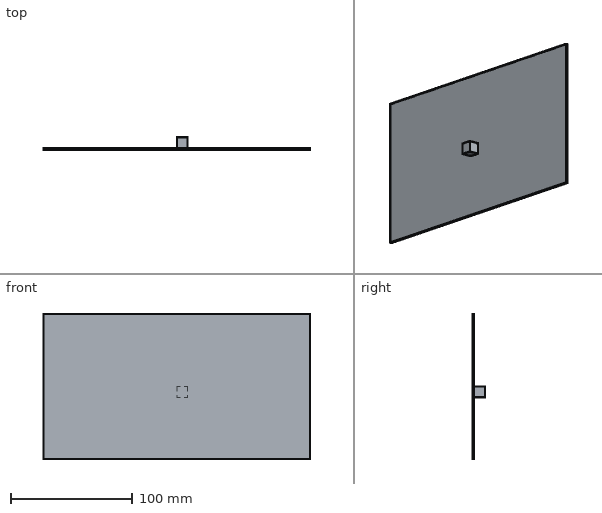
import cadquery as cq

plate_length = 220.0
plate_height = 120.0
plate_thickness = 1.5
total_depth = 10.5

block_side = total_depth - plate_thickness


def make_plate():
    """Thin upright panel centred on X and Z, with its front face at Y = 0."""
    return cq.Workplane("XY").box(
        plate_length, plate_thickness, plate_height, centered=(True, False, True)
    )


def make_block():
    """Cube on the back of the plate, with its upper -X corner at the plate centre."""
    return (
        cq.Workplane("XY")
        .box(block_side, block_side, block_side, centered=False)
        .translate((0, plate_thickness, -block_side))
    )


plate = make_plate()
block = make_block()

result = cq.Compound.makeCompound([plate.val(), block.val()])